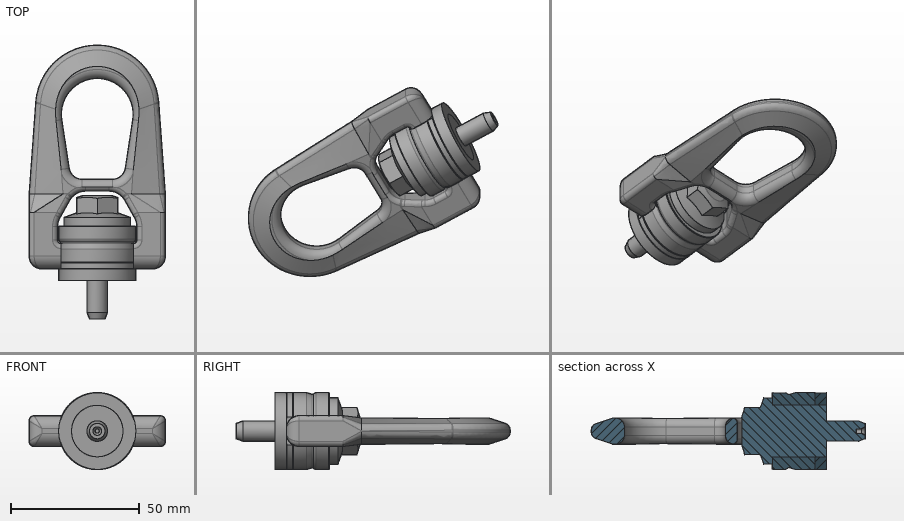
import cadquery as cq
import math


body_diameter = 30.0
body_radius = body_diameter / 2
flange_height = 4.5
stem_diameter = 20.0

shell_top = 21.2
shell_edge_chamfer = 0.25
flat_distance = 14.0
flat_top = 14.4
v_groove_radius = 14.35
v_groove_start = 12.25
v_groove_floor = (14.45, 14.95)
v_groove_end = 16.05
v_groove_bulge = 0.3
line_groove_center = 7.0
line_groove_width = 0.35
line_groove_depth = 0.15

collar_diameter = 26.0
collar_top = 24.5
cone_top = 26.5
cone_top_diameter = 15.0
head_across_flats = 16.0
head_top = 33.1
head_chamfer_start = 31.9
head_top_diameter = 11.0
shank_diameter = 8.0
shank_length = 15.0
tip_length = 2.6
tip_diameter = 6.0
center_hole_diameter = 1.6
center_hole_depth = 3.5
countersink_diameter = 3.35
countersink_angle = 60.0

bow_width = 53.0
bow_half_width = bow_width / 2
arm_thickness = 12.0
arm_bottom = flange_height
arm_top = 26.5
arm_corner_radius = 5.0
arm_edge_radius = 2.0

loop_start = 33.65
loop_thickness = 10.25
slant_width = 8.3
slant_foot_width = 13.2
slant_height = 2.74
nose_radius = 2.8
loop_top = 91.5
loop_outer_radius = 24.0
eye_radius = 13.9
eye_top = 78.5
eye_bottom = 39.4
eye_bottom_half_width = 10.2
eye_corner_radius = 5.0
eye_edge_radius = 3.5

window_half_width = 15.35
window_shoulder = 22.8
window_top = 34.7
window_top_half_width = 8.7
window_bend_radius = 7.0
window_foot_radius = window_half_width - flat_distance
window_edge_radius = 2.0

pick_margin = 0.5


def revolve_about_bolt(points):
    """Solid of revolution about Y from (radius, height) points that start and end on the axis."""
    return cq.Workplane("XY").polyline(points).close().revolve(360, (0, 0), (0, 1))


def cylinder(diameter, start, end):
    """Cylinder about the bolt axis between two heights."""
    return cq.Workplane("XZ", origin=(0, start, 0)).circle(diameter / 2).extrude(start - end)


def arc_point(center, radius, angle):
    return (center[0] + radius * math.cos(angle), center[1] + radius * math.sin(angle))


def make_flange():
    disc = cylinder(body_diameter, 0, flange_height)
    return disc.cut(cylinder(stem_diameter, 0, flange_height))


def make_shell():
    groove_arc_middle = (
        body_radius - v_groove_bulge * (body_radius - v_groove_radius),
        (v_groove_floor[1] + v_groove_end) / 2,
    )
    line_groove_low = line_groove_center - line_groove_width / 2
    line_groove_high = line_groove_center + line_groove_width / 2
    profile = (
        cq.Workplane("XY")
        .moveTo(stem_diameter / 2, flange_height)
        .lineTo(body_radius - shell_edge_chamfer, flange_height)
        .lineTo(body_radius, flange_height + shell_edge_chamfer)
        .lineTo(body_radius, line_groove_low)
        .lineTo(body_radius - line_groove_depth, line_groove_low)
        .lineTo(body_radius - line_groove_depth, line_groove_high)
        .lineTo(body_radius, line_groove_high)
        .lineTo(body_radius, v_groove_start)
        .lineTo(v_groove_radius, v_groove_floor[0])
        .lineTo(v_groove_radius, v_groove_floor[1])
        .threePointArc(groove_arc_middle, (body_radius, v_groove_end))
        .lineTo(body_radius, shell_top - shell_edge_chamfer)
        .lineTo(body_radius - shell_edge_chamfer, shell_top)
        .lineTo(stem_diameter / 2, shell_top)
        .close()
    )
    shell = profile.revolve(360, (0, 0), (0, 1))

    flat_height = flat_top - flange_height
    for side in (-1, 1):
        flat = cq.Workplane("XY").box(body_radius, flat_height, body_diameter).translate(
            (side * (flat_distance + body_radius / 2), flange_height + flat_height / 2, 0)
        )
        shell = shell.cut(flat)
    return shell


def make_bolt():
    body = revolve_about_bolt([
        (0, -shank_length),
        (tip_diameter / 2, -shank_length),
        (shank_diameter / 2, tip_length - shank_length),
        (shank_diameter / 2, 0),
        (stem_diameter / 2, 0),
        (stem_diameter / 2, shell_top),
        (collar_diameter / 2, shell_top),
        (collar_diameter / 2, collar_top),
        (cone_top_diameter / 2, cone_top),
        (0, cone_top),
    ])

    corner_radius = head_across_flats / math.sqrt(3)
    head = (
        cq.Workplane("XZ", origin=(0, collar_top, 0))
        .transformed(rotate=(0, 0, 90))
        .polygon(6, 2 * corner_radius)
        .extrude(collar_top - head_top)
    )
    bevel = revolve_about_bolt([
        (0, collar_top),
        (corner_radius, collar_top),
        (corner_radius, head_chamfer_start),
        (head_top_diameter / 2, head_top),
        (0, head_top),
    ])
    center_hole = cylinder(center_hole_diameter, -shank_length, center_hole_depth - shank_length)
    countersink_depth = countersink_diameter / 2 / math.tan(math.radians(countersink_angle / 2))
    countersink = revolve_about_bolt([
        (0, -shank_length),
        (countersink_diameter / 2, -shank_length),
        (0, countersink_depth - shank_length),
    ])
    return body.union(head.intersect(bevel)).cut(center_hole).cut(countersink)


def arm_corner():
    """Corner of the arm section: a quarter arc, split at its middle."""
    center = (bow_half_width - arm_edge_radius, arm_thickness / 2 - arm_edge_radius)
    return [arc_point(center, arm_edge_radius, step * math.pi / 8) for step in range(5)]


def loop_corner():
    """Corner of the loop section: a round nose, then a straight slant up to the top face."""
    slant_angle = math.atan2(slant_height, slant_foot_width)
    turn = math.pi / 2 - slant_angle
    nose_corner_z = loop_thickness / 2 - slant_height
    center = (bow_half_width - nose_radius, nose_corner_z - nose_radius * math.tan(turn / 2))
    nose = [arc_point(center, nose_radius, step * turn / 2) for step in range(3)]
    slant_end = (bow_half_width - slant_foot_width, loop_thickness / 2)
    slant_middle = ((nose[2][0] + slant_end[0]) / 2, (nose[2][1] + slant_end[1]) / 2)
    return nose + [slant_middle, slant_end]


def bow_section(height, corner, slanted):
    """Closed section across the bow at one height, made from the points of its +X +Z corner."""
    section = cq.Workplane("XZ", origin=(0, height, 0)).moveTo(*corner[0])
    for x_sign, z_sign in ((1, 1), (-1, 1), (-1, -1), (1, -1)):
        points = [(x_sign * x, z_sign * z) for x, z in corner]
        side_to_top = x_sign == z_sign
        if not side_to_top:
            points.reverse()
        if (x_sign, z_sign) != (1, 1):
            section = section.lineTo(*points[0])
        for start in (0, 2):
            slant_part = slanted and (start == 2) == side_to_top
            if slant_part:
                section = section.lineTo(*points[start + 2])
            else:
                section = section.threePointArc(points[start + 1], points[start + 2])
    return section.close().val()


def make_arm_block():
    """Solid block for both arms: rounded lower corners, a round underside and rounded side edges."""
    height = arm_top - arm_bottom
    middle = arm_bottom + height / 2
    outline = cq.Workplane("XY").box(bow_width, height, arm_thickness).edges("<Y and |Z")
    side = cq.Workplane("XY").box(bow_width, height, arm_thickness).edges("<Y and |X")
    block = outline.fillet(arm_corner_radius).intersect(side.fillet(arm_corner_radius))
    block = block.edges("|Y and (<X or >X)").fillet(arm_edge_radius)
    return block.translate((0, middle, 0))


def tapered_outline(foot_half_width, foot_y, radius, center_y):
    """Closed outline: a flat foot, two straight sides and a tangent arc over the top."""
    rise = center_y - foot_y
    distance = math.hypot(foot_half_width, rise)
    angle = math.acos(radius / distance) - math.atan2(rise, foot_half_width)
    tangent_x, tangent_y = arc_point((0, center_y), radius, angle)
    return (
        cq.Workplane("XY")
        .moveTo(-foot_half_width, foot_y)
        .lineTo(foot_half_width, foot_y)
        .lineTo(tangent_x, tangent_y)
        .threePointArc((0, center_y + radius), (-tangent_x, tangent_y))
        .close()
    )


def make_loop():
    """Plate with a tapered, round-topped outline, slanted faces and a round nose along its rim."""
    center_y = loop_top - loop_outer_radius
    nose_z = loop_thickness / 2 - slant_height
    outer = tapered_outline(bow_half_width, loop_start, loop_outer_radius, center_y)
    inner_foot = bow_half_width - slant_foot_width
    inner = tapered_outline(inner_foot, loop_start, loop_outer_radius - slant_width, center_y)
    upper = cq.Workplane(cq.Solid.makeLoft(
        [
            outer.val().moved(cq.Location((0, 0, nose_z))),
            inner.val().moved(cq.Location((0, 0, loop_thickness / 2))),
        ],
        True,
    ))
    loop = outer.extrude(nose_z, both=True).union(upper).union(upper.mirror("XY"))
    rim = cq.selectors.BoxSelector(
        (-bow_width, loop_start + pick_margin, -nose_z - pick_margin),
        (bow_width, loop_top + pick_margin, nose_z + pick_margin),
    )
    return loop.edges(rim).edges("not(|Z)").fillet(nose_radius)


def make_eye_cutter():
    """Flared plug that leaves the eye with rounded edges."""
    eye = tapered_outline(eye_bottom_half_width, eye_bottom, eye_radius, eye_top - eye_radius)
    eye = eye.extrude(loop_thickness, both=True).edges("<Y and |Z").fillet(eye_corner_radius)

    height = loop_top - loop_start
    envelope = cq.Workplane("XY").box(bow_width, height, loop_thickness)
    envelope = envelope.translate((0, loop_start + height / 2, 0))
    plate = envelope.cut(eye)
    eye_bounds = cq.selectors.BoxSelector(
        (-eye_radius - pick_margin, eye_bottom - pick_margin, -loop_thickness),
        (eye_radius + pick_margin, eye_top + pick_margin, loop_thickness),
    )
    rim = plate.edges("#Z").edges(eye_bounds)
    return envelope.cut(rim.fillet(eye_edge_radius))


def make_window_cutter():
    """Prism through the bow that clears the bolt head, with a rounded, narrowing foot."""
    outline = [
        (-window_half_width, flat_top),
        (window_half_width, flat_top),
        (window_half_width, window_shoulder),
        (window_top_half_width, window_top),
        (-window_top_half_width, window_top),
        (-window_half_width, window_shoulder),
    ]
    window = cq.Workplane("XY").polyline(outline).close().extrude(arm_thickness, both=True)
    window = window.edges("|Z and <Y").fillet(window_foot_radius)
    bends = cq.selectors.BoxSelector(
        (-bow_width, window_shoulder - pick_margin, -arm_thickness),
        (bow_width, window_top + pick_margin, arm_thickness),
    )
    return window.edges("|Z").edges(bends).fillet(window_bend_radius)


def make_bow():
    transition = cq.Solid.makeLoft(
        [bow_section(arm_top, arm_corner(), False), bow_section(loop_start, loop_corner(), True)], True
    )
    bow = make_arm_block().union(cq.Workplane(transition)).union(make_loop())
    throat = cq.Workplane("XY").box(2 * flat_distance, 2 * flat_top, 2 * arm_thickness)
    bow = bow.cut(make_window_cutter()).cut(throat)

    window_bounds = cq.selectors.BoxSelector(
        (-window_half_width, flat_top, -arm_thickness),
        (window_half_width, window_top + pick_margin, arm_thickness),
    )
    bow = bow.edges(window_bounds).edges("not(|Z)").fillet(window_edge_radius)
    return bow.cut(make_eye_cutter())


bow = make_bow()
shell = make_shell()
flange = make_flange()
bolt = make_bolt()

result = cq.Compound.makeCompound([bow.val(), shell.val(), flange.val(), bolt.val()])